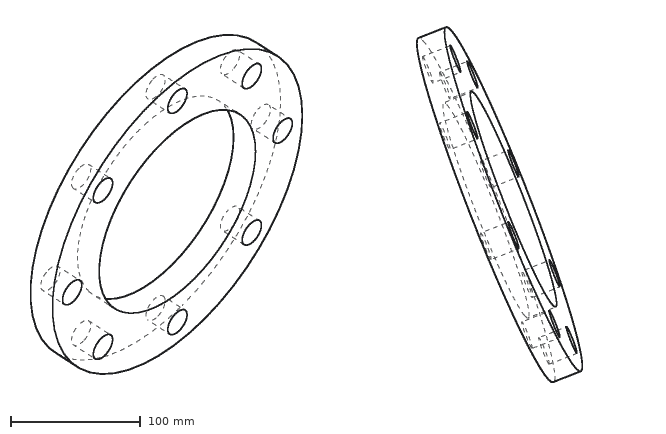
import cadquery as cq

outer_diameter = 285.0
thickness = 23.0
bore_diameter = 178.0

bolt_circle_diameter = 240.0
bolt_hole_diameter = 22.0
bolt_hole_count = 8


def make_ring():
    """Ring with one face on the YZ plane and its bore along X."""
    return (
        cq.Workplane("YZ")
        .circle(outer_diameter / 2)
        .circle(bore_diameter / 2)
        .extrude(thickness)
    )


def make_bolt_holes():
    """Cylinders to remove, passing through the full thickness."""
    return (
        cq.Workplane("YZ")
        .polarArray(bolt_circle_diameter / 2, 0, 360, bolt_hole_count)
        .circle(bolt_hole_diameter / 2)
        .extrude(thickness)
    )


result = make_ring().cut(make_bolt_holes())